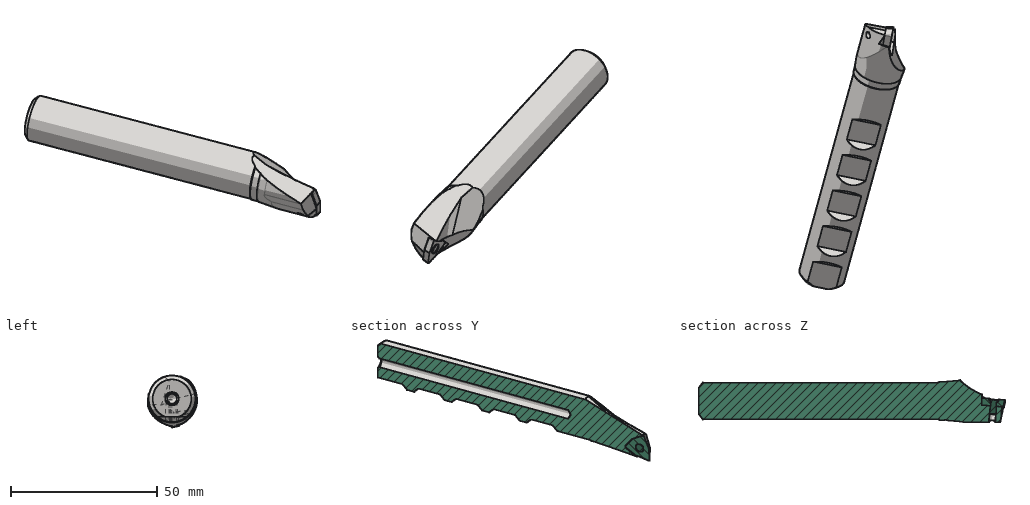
import cadquery as cq
import math


length = 105.0
shank_radius = 8.0
end_chamfer = 1.4
big = 63.0

flat_height = -6.2
notch_count = 5
notch_pitch = 14.5
notch_length = 8.2
first_notch_start = 1.4

bore_radius = 1.7
bore_mouth_radius = 2.3
bore_depth = 73.5
drill_tip_angle = 118.0

collar_start = 82.1
collar_radius = 8.2
collar_edge = 0.3
cone_start = 85.0
cone_radius = 8.3
cone_angle = 4.8

relief_start = 87.2
relief_upper_radius = 8.5
relief_flat_y = -8.7
relief_arc_middle = (-6.4, -6.2)
relief_arc_end = (0, -9.7)
relief_flat_top = 1.8
relief_flat_bottom = -0.5

top_face_point = (80.0, 0, 8.1)
top_face_normal = (0.37, 0.18, 1.0)

flute_point = (86.3, 1.4, 5.0)
flute_flat_normal = (1.0, 1.47, 1.74)
flute_wall_middle = (3.7, 1.5)
flute_wall_end = (5.9, 2.8)
flute_line = (8.5, 2.3, -6.8)

side_arc = ((89.0, 8.4), (95.2, 3.8), (103.4, 1.7))
side_arc_height = -2.1
side_lean = 0.27

end_face_point = (102.2, 0, 0)
end_face_normal = (1.0, -0.07, 0.38)
flank_point = (104.3, -2.4, 0)
flank_normal = (1.0, -0.2, 0)
heel_start = 100.1
heel_height = -8.6
heel_fall = 0.6

nose_z = -9.9
nose_radius = 0.4
nose_angle = 80.0
insert_inradius = 3.8
insert_thickness = 2.4
insert_clearance = 7.0
end_edge_lead = 2.0
rake_normal = cq.Vector(0.085, 1.0, -0.1).normalized()

screw_radius = 1.0
screw_head_radius = 1.8
screw_head_height = 0.9
screw_length = 5.2
screw_recess = 0.3
screw_neck = -screw_recess - screw_head_height


def block_above(point, normal):
    """A big block that starts at the point and reaches out along the normal."""
    plane = cq.Plane(origin=point, normal=normal)
    return cq.Workplane(plane).rect(big, big).extrude(big)


def round_body():
    cone_end_radius = cone_radius + (length - cone_start) * math.tan(math.radians(cone_angle))
    return (
        cq.Workplane("XZ")
        .moveTo(0, 0)
        .lineTo(0, shank_radius - end_chamfer)
        .lineTo(end_chamfer, shank_radius)
        .lineTo(collar_start, shank_radius)
        .lineTo(collar_start + collar_edge, collar_radius)
        .lineTo(cone_start - collar_edge, collar_radius)
        .lineTo(cone_start, cone_radius)
        .lineTo(length, cone_end_radius)
        .lineTo(length, 0)
        .close()
        .revolve(360, (0, 0, 0), (1, 0, 0))
    )


def notch(index):
    """Trapezoid notch with 45 degree ends; the first one runs out through the back end."""
    depth = 2 * (shank_radius + flat_height)
    start = first_notch_start + index * notch_pitch
    end = start + notch_length
    return (
        cq.Workplane("XZ")
        .polyline([
            (0 if index == 0 else start, flat_height),
            (end, flat_height),
            (end + depth, flat_height - depth),
            (0 if index == 0 else start - depth, flat_height - depth),
        ])
        .close()
        .extrude(big / 2, both=True)
    )


def coolant_bore():
    mouth = bore_mouth_radius - bore_radius
    tip = bore_radius / math.tan(math.radians(drill_tip_angle / 2))
    return (
        cq.Workplane("XZ")
        .polyline([
            (0, 0),
            (0, bore_mouth_radius),
            (mouth, bore_radius),
            (bore_depth, bore_radius),
            (bore_depth + tip, 0),
        ])
        .close()
        .revolve(360, (0, 0, 0), (1, 0, 0))
    )


def side_relief():
    """Everything outside the -Y outline of the head, which is constant along X."""
    upper_y = -math.sqrt(relief_upper_radius**2 - relief_flat_top**2)
    diagonal = math.sqrt(0.5)
    return (
        cq.Workplane("YZ", origin=(relief_start, 0, 0))
        .moveTo(0, relief_upper_radius)
        .threePointArc(
            (-relief_upper_radius * diagonal, relief_upper_radius * diagonal),
            (upper_y, relief_flat_top),
        )
        .lineTo(relief_flat_y, relief_flat_bottom)
        .threePointArc(relief_arc_middle, relief_arc_end)
        .lineTo(0, -big / 2)
        .lineTo(-big / 2, -big / 2)
        .lineTo(-big / 2, big / 2)
        .lineTo(0, big / 2)
        .close()
        .extrude(big)
    )


def chip_flute():
    """Profile square to the flute line: the flat, then the curved wall carried on straight."""
    flat_normal = cq.Vector(*flute_flat_normal).normalized()
    along = cq.Vector(*flute_line)
    along = (along - flat_normal * along.dot(flat_normal)).normalized()
    across = along.cross(flat_normal)
    plane = cq.Plane(origin=flute_point, xDir=across, normal=along * -1)
    run = flute_wall_end[0] - flute_wall_middle[0]
    rise = flute_wall_end[1] - flute_wall_middle[1]
    wall_top = (flute_wall_end[0] + big, flute_wall_end[1] + big * rise / run)
    return (
        cq.Workplane(plane)
        .moveTo(-big, 0)
        .lineTo(0, 0)
        .threePointArc(flute_wall_middle, flute_wall_end)
        .lineTo(*wall_top)
        .lineTo(-big, wall_top[1])
        .close()
        .extrude(big, both=True)
    )


def flute_side():
    """Everything past the plan arc on its +Y side, swept along the leaning direction."""
    start, middle, end = side_arc
    outline = (
        cq.Workplane("XY")
        .moveTo(*start)
        .threePointArc(middle, end)
        .lineTo(end[0] + big, end[1])
        .lineTo(end[0] + big, big)
        .lineTo(start[0], big)
        .close()
        .wires()
        .val()
    )
    lean = cq.Vector(0, side_lean, 1)
    bottom = outline.moved(cq.Location(cq.Vector(0, 0, side_arc_height) - lean * big))
    return cq.Workplane(cq.Solid.extrudeLinear(bottom, [], lean * (2 * big)))


def heel_relief():
    return (
        cq.Workplane("XZ")
        .polyline([
            (heel_start, -big),
            (heel_start, heel_height),
            (length, heel_height - heel_fall),
            (length, -big),
        ])
        .close()
        .extrude(big, both=True)
    )


half_nose = math.radians(nose_angle / 2)
bisector_angle = math.radians(90 + end_edge_lead + nose_angle / 2)
bisector = cq.Vector(math.cos(bisector_angle), 0, math.sin(bisector_angle))
bisector = (bisector - rake_normal * bisector.dot(rake_normal)).normalized()
nose_center = cq.Vector(length - nose_radius, 0, nose_z + nose_radius)
insert_center = nose_center + bisector * ((insert_inradius - nose_radius) / math.sin(half_nose))
insert_plane = cq.Plane(origin=insert_center, xDir=bisector * -1, normal=rake_normal)


def polar(distance, angle):
    return (distance * math.cos(angle), distance * math.sin(angle))


def trigon_prism(depth, taper=0):
    """Three rounded noses with blunt corners between them, starting at the rake face."""
    nose_center_distance = (insert_inradius - nose_radius) / math.sin(half_nose)
    blunt_distance = insert_inradius / math.cos(half_nose - math.pi / 6)
    outline = cq.Workplane(insert_plane).moveTo(*polar(blunt_distance, -math.pi / 3))
    for i in range(3):
        angle = i * 2 * math.pi / 3
        center = polar(nose_center_distance, angle)
        arc = []
        for turn in (half_nose - math.pi / 2, 0, math.pi / 2 - half_nose):
            x, y = polar(nose_radius, angle + turn)
            arc.append((center[0] + x, center[1] + y))
        outline = outline.lineTo(*arc[0]).threePointArc(arc[1], arc[2])
        if i < 2:
            outline = outline.lineTo(*polar(blunt_distance, angle + math.pi / 3))
    return outline.close().extrude(depth, taper=taper)


def turned_about_screw_axis(profile):
    axis_plane = cq.Plane(
        origin=insert_center,
        xDir=insert_plane.xDir,
        normal=insert_plane.yDir * -1,
    )
    return cq.Workplane(axis_plane).polyline(profile).close().revolve(360, (0, 0, 0), (0, 1, 0))


def screw_hole():
    """Countersunk hole through the insert and on through the -Y side of the bar."""
    return turned_about_screw_axis([
        (0, 0),
        (screw_head_radius, 0),
        (screw_head_radius, -screw_recess),
        (screw_radius, screw_neck),
        (screw_radius, -big / 2),
        (0, -big / 2),
    ])


def make_screw():
    return turned_about_screw_axis([
        (0, -screw_recess),
        (screw_head_radius, -screw_recess),
        (screw_radius, screw_neck),
        (screw_radius, -screw_length),
        (0, -screw_length),
    ])


def make_insert():
    return trigon_prism(-insert_thickness, insert_clearance).cut(screw_hole())


def make_bar():
    bar = round_body()
    for index in range(notch_count):
        bar = bar.cut(notch(index))
    bar = bar.cut(coolant_bore())
    bar = bar.cut(side_relief())
    bar = bar.cut(block_above(top_face_point, top_face_normal))
    bar = bar.cut(chip_flute())
    bar = bar.cut(flute_side())
    bar = bar.cut(block_above(end_face_point, end_face_normal))
    bar = bar.cut(block_above(flank_point, flank_normal))
    bar = bar.cut(heel_relief())
    bar = bar.cut(trigon_prism(-insert_thickness, insert_clearance))
    bar = bar.cut(trigon_prism(big / 2))
    return bar.cut(screw_hole())


bar = make_bar()
insert = make_insert()
screw = make_screw()
result = cq.Compound.makeCompound([bar.solids().val(), insert.solids().val(), screw.solids().val()])